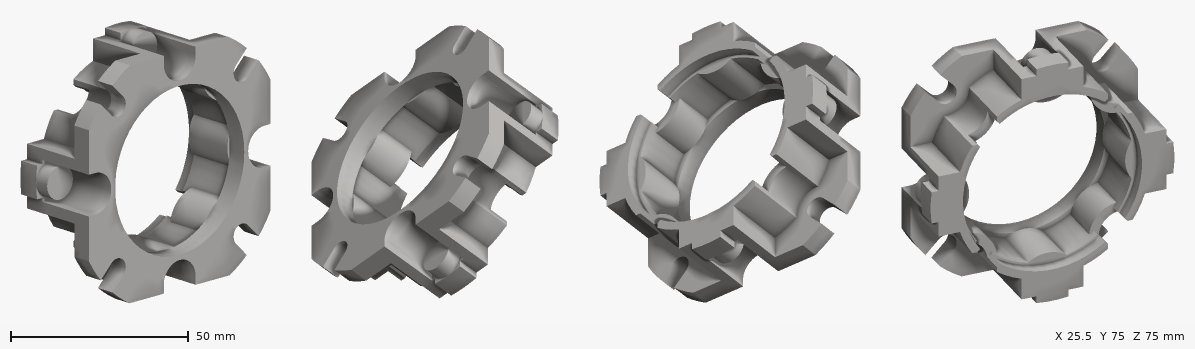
import cadquery as cq

length = 25.5
outer_radius = 37.5
body_half_width = 35.0
ear_radius = 40.0

flange_start = 19.5
tab_depth = 6.5
pin_end = 11.0
counterbore_depth = 3.7

counterbore_radius = 27.5
bore_radius = 26.6
flange_bore_radius = 24.9

pitch_radius = 34.0
ear_slot_radius = 3.2
notch_radius = 7.0
bump_radius = 10.0

arm_half_width = 9.5
rim_radius = 30.0
rim_gap_half_width = 4.3

tab_half_width = 4.95
pin_radius = tab_half_width
pin_offset = outer_radius - pin_radius
groove_radius = 6.15

side_angles = [0, 90, 180, 270]
corner_angles = [45, 135, 225, 315]


def section(start):
    """Sketch plane across the ring axis at X = start; its axes are Y and Z."""
    return cq.Workplane("YZ", origin=(start, 0, 0))


def disc(radius, start, end, offset=0.0):
    """Cylinder along X, moved by offset along +Y."""
    return section(start).center(offset, 0).circle(radius).extrude(end - start)


def bar(near, far, half_width, start, end):
    """Box along X reaching from Y = near to Y = far."""
    middle = (near + far) / 2
    return section(start).center(middle, 0).rect(far - near, 2 * half_width).extrude(end - start)


def around(shape, angles):
    """Copies of a shape turned about the ring axis."""
    copies = cq.Workplane("YZ")
    for angle in angles:
        copies = copies.add(shape.rotate((0, 0, 0), (1, 0, 0), angle))
    return copies.combine()


def body_block():
    square = section(0).rect(2 * body_half_width, 2 * body_half_width).extrude(length)
    return square.intersect(disc(ear_radius, 0, length))


def stepped_bore():
    """Bore cutter, notched so that eight rounded bumps stay on the wall."""
    cutter = disc(bore_radius, 0, flange_start)
    side_bump = disc(bump_radius, counterbore_depth, flange_start, pitch_radius)
    corner_bump = disc(bump_radius, tab_depth, flange_start, pitch_radius)
    cutter = cutter.cut(around(side_bump, side_angles)).cut(around(corner_bump, corner_angles))
    cutter = cutter.union(disc(counterbore_radius, 0, counterbore_depth))
    return cutter.union(disc(flange_bore_radius, flange_start, length))


def corner_pocket():
    """Pocket of the +Y +Z corner, open to the front and to the outside."""
    size = ear_radius - arm_half_width
    pocket = section(0).center(arm_half_width, arm_half_width)
    pocket = pocket.rect(size, size, centered=False).extrude(flange_start)
    pocket = pocket.cut(disc(rim_radius, 0, flange_start))
    notch = disc(notch_radius, 0, flange_start, pitch_radius)
    return pocket.union(notch.rotate((0, 0, 0), (1, 0, 0), corner_angles[0]))


def ear_slot():
    """Round-ended slot through the flange, open to the outside."""
    rounded_end = disc(ear_slot_radius, flange_start, length, pitch_radius)
    return rounded_end.union(bar(pitch_radius, ear_radius, ear_slot_radius, flange_start, length))


def side_groove():
    """Round-bottomed groove behind each tab, open to the side and to the back."""
    rounded_bottom = disc(groove_radius, tab_depth, length, pin_offset)
    return rounded_bottom.union(bar(pin_offset, outer_radius, groove_radius, tab_depth, length))


def side_tab():
    """Front tab with a round pin behind it that stands in the groove."""
    block = bar(pin_offset, outer_radius, tab_half_width, 0, tab_depth)
    block = block.intersect(disc(outer_radius, 0, tab_depth))
    return block.union(disc(pin_radius, tab_depth, pin_end, pin_offset))


def rim_gap():
    """Gap in the front rim at a corner, as deep as the tabs."""
    return bar(flange_bore_radius, pitch_radius, rim_gap_half_width, 0, tab_depth)


result = body_block().cut(stepped_bore())
result = result.cut(around(corner_pocket(), side_angles))
result = result.cut(around(rim_gap(), corner_angles))
result = result.cut(around(ear_slot(), corner_angles))
result = result.cut(around(side_groove(), side_angles))
result = result.union(around(side_tab(), side_angles))